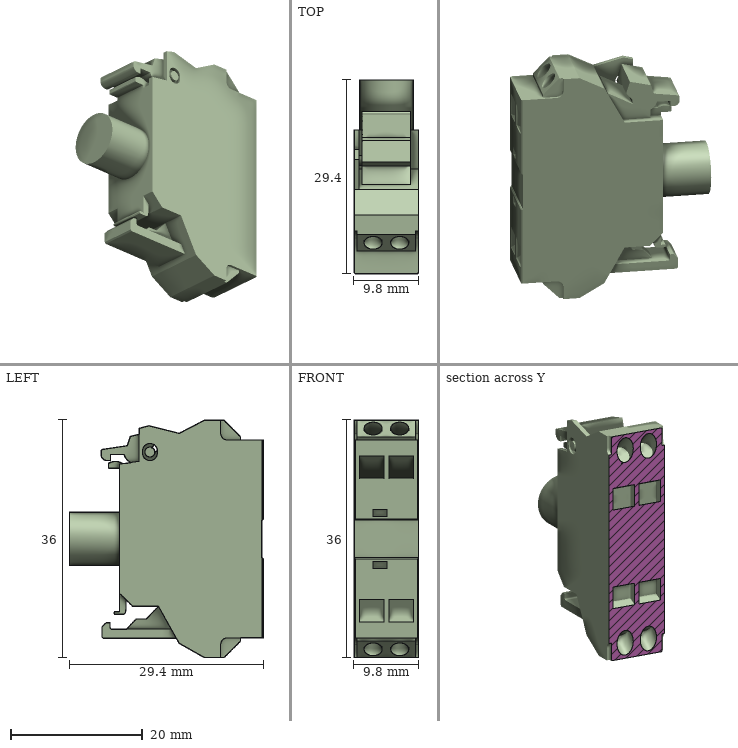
import cadquery as cq

HALF_WIDTH = 4.9
HALF_HEIGHT = 18.0
TOTAL_DEPTH = 29.4

PAD_DEPTH = 0.25
PAD_BEVEL = 0.18
SHOULDER_Z = 15.0
HOUSING_REAR_Y = 21.85
CREST_FRONT_Y = 6.48
CREST_REAR_Y = 8.95
VALLEY_Y = 12.78
VALLEY_Z = 16.02
LOWER_VALLEY_Z = -15.85
LEDGE_Y = 15.9
LEDGE_Z = 10.22
LOWER_CHAMFER = 2.0
SHOULDER_RADIUS = 1.0

CHEEK_THICKNESS = 0.75
CHEEK_REAR_Y = 18.85
CHEEK_PEAK_Z = 17.17
SLOT_WIDTH = 2.25
SLOT_HEIGHT = 2.6
PIVOT_Y = 17.2
PIVOT_Z = 13.18
PIN_RADIUS = 0.75

TERMINAL_HALF_WIDTH = 4.43
TERMINAL_FRONT_Y = 3.45
TERMINAL_BEVEL = 2.52
SCREW_RADIUS = 1.35
SCREW_DEPTH = 3.6
SCREW_X = 2.0

PAD_INNER_Z = 2.85
WINDOW_INNER_X = 0.4
WINDOW_WIDTH = 3.67
WINDOW_BOTTOM_Z = 9.2
WINDOW_TOP_Z = 12.6
WINDOW_DEPTH = 7.2
WINDOW_DROP = 3.6
TEST_SLOT_X = -0.97
TEST_SLOT_WIDTH = 2.15
TEST_SLOT_HEIGHT = 1.05
TEST_SLOT_Z = 3.95
TEST_SLOT_DEPTH = 1.8

LEVER_HALF_WIDTH = 3.67
LEVER_TAIL_Y = 13.57
LEVER_FOOT_Y = 20.15
CLIP_HALF_WIDTH = 2.88
WEB_HALF_WIDTH = 1.45
PLUNGER_RADIUS = 4.05


def slab(sketch, x_min, x_max):
    """Extrude a closed YZ outline from x_min to x_max."""
    return sketch.extrude(x_max - x_min).translate((x_min, 0, 0))


def plate(points, x_min, x_max):
    """Extrude a polygon of (y, z) points from x_min to x_max."""
    return slab(cq.Workplane("YZ").polyline(points).close(), x_min, x_max)


def box(x_min, x_max, y_min, y_max, z_min, z_max):
    """Box between the given limits."""
    size = (x_max - x_min, y_max - y_min, z_max - z_min)
    return cq.Workplane("XY").box(*size, centered=False).translate((x_min, y_min, z_min))


def mirrored_in_z(solid):
    """Copy reflected in the mid-height plane."""
    return solid.mirror("XY")


def housing():
    """Full-width body with stepped shoulders at the front corners."""
    outline = (
        cq.Workplane("YZ")
        .moveTo(PAD_DEPTH, -SHOULDER_Z)
        .lineTo(PAD_DEPTH, SHOULDER_Z)
        .lineTo(CREST_FRONT_Y - SHOULDER_RADIUS, SHOULDER_Z)
        .radiusArc((CREST_FRONT_Y, SHOULDER_Z + SHOULDER_RADIUS), -SHOULDER_RADIUS)
        .lineTo(CREST_FRONT_Y, HALF_HEIGHT)
        .lineTo(CREST_REAR_Y, HALF_HEIGHT)
        .lineTo(VALLEY_Y, VALLEY_Z)
        .lineTo(LEDGE_Y, LEDGE_Z)
        .lineTo(HOUSING_REAR_Y, LEDGE_Z)
        .lineTo(HOUSING_REAR_Y, LOWER_CHAMFER - LEDGE_Z)
        .lineTo(HOUSING_REAR_Y - LOWER_CHAMFER, -LEDGE_Z)
        .lineTo(LEDGE_Y, -LEDGE_Z)
        .lineTo(VALLEY_Y, LOWER_VALLEY_Z)
        .lineTo(CREST_REAR_Y, -HALF_HEIGHT)
        .lineTo(CREST_FRONT_Y, -HALF_HEIGHT)
        .lineTo(CREST_FRONT_Y, -SHOULDER_Z - SHOULDER_RADIUS)
        .radiusArc((CREST_FRONT_Y - SHOULDER_RADIUS, -SHOULDER_Z), -SHOULDER_RADIUS)
        .close()
    )
    return slab(outline, -HALF_WIDTH, HALF_WIDTH)


def cheek():
    """Side plate that rises above the ledge and holds the pivot slot."""
    outline = [
        (VALLEY_Y, VALLEY_Z),
        (17.35, CHEEK_PEAK_Z),
        (CHEEK_REAR_Y, 16.78),
        (CHEEK_REAR_Y, 11.77),
        (HOUSING_REAR_Y, 11.35),
        (HOUSING_REAR_Y, 0),
        (VALLEY_Y, 0),
    ]
    inner_x = CHEEK_THICKNESS - HALF_WIDTH
    slot = (
        cq.Workplane("YZ")
        .center(PIVOT_Y, PIVOT_Z)
        .slot2D(SLOT_HEIGHT, SLOT_WIDTH, 90)
    )
    slot_cut = slab(slot, -HALF_WIDTH, inner_x)
    return plate(outline, -HALF_WIDTH, inner_x).cut(slot_cut)


def terminal_block():
    """Upper bevelled block, narrower than the housing."""
    bevel_foot_z = HALF_HEIGHT - TERMINAL_BEVEL
    points = [
        (CREST_FRONT_Y, SHOULDER_Z),
        (TERMINAL_FRONT_Y, SHOULDER_Z),
        (TERMINAL_FRONT_Y, bevel_foot_z),
        (TERMINAL_FRONT_Y + TERMINAL_BEVEL, HALF_HEIGHT),
        (CREST_FRONT_Y, HALF_HEIGHT),
    ]
    return plate(points, -TERMINAL_HALF_WIDTH, TERMINAL_HALF_WIDTH)


def screw_holes():
    """Two blind holes square to the upper terminal bevel."""
    middle_y = TERMINAL_FRONT_Y + TERMINAL_BEVEL / 2
    middle_z = HALF_HEIGHT - TERMINAL_BEVEL / 2
    bevel = cq.Plane(origin=(0, middle_y, middle_z), xDir=(1, 0, 0), normal=(0, -1, 1))
    return (
        cq.Workplane(bevel)
        .pushPoints([(-SCREW_X, 0), (SCREW_X, 0)])
        .circle(SCREW_RADIUS)
        .extrude(-SCREW_DEPTH)
    )


def front_pad():
    """Raised pad whose sides and inner edge are bevelled."""
    pad = box(-HALF_WIDTH, HALF_WIDTH, 0, PAD_DEPTH, PAD_INNER_Z, SHOULDER_Z)
    return pad.faces("<Y").edges("<X or >X or <Z").chamfer(PAD_BEVEL)


def front_openings():
    """Upper wire windows sloping in towards mid-height, and a small test slot."""
    profile = [
        (0, WINDOW_BOTTOM_Z),
        (0, WINDOW_TOP_Z),
        (WINDOW_DEPTH, WINDOW_TOP_Z - WINDOW_DROP),
        (WINDOW_DEPTH, WINDOW_BOTTOM_Z - WINDOW_DROP),
    ]
    window = plate(profile, WINDOW_INNER_X, WINDOW_INNER_X + WINDOW_WIDTH)
    test_slot = box(
        TEST_SLOT_X - TEST_SLOT_WIDTH / 2,
        TEST_SLOT_X + TEST_SLOT_WIDTH / 2,
        0,
        TEST_SLOT_DEPTH,
        TEST_SLOT_Z - TEST_SLOT_HEIGHT / 2,
        TEST_SLOT_Z + TEST_SLOT_HEIGHT / 2,
    )
    return window.union(window.mirror("YZ")).union(test_slot)


def release_lever():
    """Release lever with its rear hook and front tail."""
    outline = (
        cq.Workplane("YZ")
        .moveTo(LEVER_TAIL_Y, 14.7)
        .lineTo(17.4, 12.67)
        .lineTo(17.4, 13.35)
        .lineTo(16.38, 14.47)
        .lineTo(16.95, 16.35)
        .lineTo(20.2, 15.55)
        .lineTo(20.65, 14.15)
        .lineTo(24.25, 13.6)
        .threePointArc((24.5, 13.5), (24.62, 13.25))
        .lineTo(24.62, 12.6)
        .threePointArc((24.35, 12.15), (23.85, 11.88))
        .lineTo(23.2, 11.88)
        .lineTo(23.2, 12.78)
        .lineTo(21.15, 12.78)
        .threePointArc((20.77, 12.1), (LEVER_FOOT_Y, 11.6))
        .lineTo(LEVER_FOOT_Y, LEDGE_Z)
        .lineTo(LEVER_TAIL_Y, LEDGE_Z)
        .close()
    )
    return slab(outline, -LEVER_HALF_WIDTH, LEVER_HALF_WIDTH)


def upper_tongue():
    """Rounded tongue standing out behind the ledge, under the lever hook."""
    bottom_z = 10.7
    outline = (
        cq.Workplane("YZ")
        .moveTo(LEVER_FOOT_Y, LEDGE_Z)
        .lineTo(LEVER_FOOT_Y, 11.45)
        .lineTo(21.4, 11.45)
        .threePointArc((22.43, 11.77), (23.5, 11.45))
        .lineTo(23.5, 10.8)
        .lineTo(23.4, bottom_z)
        .lineTo(HOUSING_REAR_Y, bottom_z)
        .lineTo(HOUSING_REAR_Y, LEDGE_Z)
        .close()
    )
    return slab(outline, -CLIP_HALF_WIDTH, CLIP_HALF_WIDTH)


def pivot_pin():
    """Pin from the lever through the cheek slot."""
    pin = cq.Workplane("YZ").center(PIVOT_Y, PIVOT_Z).circle(PIN_RADIUS)
    return slab(pin, -HALF_WIDTH, -LEVER_HALF_WIDTH)


def lower_clip():
    """Fixed hook bar below the housing, stiffened by a stepped web."""
    root_overlap = 0.72
    bar_root_y = VALLEY_Y - root_overlap
    bar_top_z = -13.68
    bar_bottom_z = -15.1
    bar_outline = (
        cq.Workplane("YZ")
        .moveTo(bar_root_y, bar_top_z)
        .lineTo(22.95, bar_top_z)
        .radiusArc((23.25, bar_top_z + 0.3), -0.3)
        .lineTo(23.25, -12.67)
        .lineTo(23.85, -12.67)
        .lineTo(24.48, -13.32)
        .lineTo(24.48, -14.85)
        .lineTo(24.25, bar_bottom_z)
        .lineTo(bar_root_y, bar_bottom_z)
        .close()
    )
    bar = slab(bar_outline, -CLIP_HALF_WIDTH, CLIP_HALF_WIDTH)
    web = [
        (VALLEY_Y, bar_top_z),
        (20.77, bar_top_z),
        (19.3, -12.15),
        (17.8, -12.15),
        (LEDGE_Y, -LEDGE_Z),
        (VALLEY_Y, -LEDGE_Z),
    ]
    return bar.union(plate(web, -WEB_HALF_WIDTH, WEB_HALF_WIDTH))


def lower_lip():
    """Short lip hanging from the lower rear edge."""
    root_z = -7.2
    points = [
        (HOUSING_REAR_Y, root_z),
        (HOUSING_REAR_Y, -11.0),
        (22.57, -11.0),
        (22.65, -11.25),
        (22.57, -11.45),
        (21.15, -11.45),
        (20.9, -11.2),
        (20.8, -10.62),
        (20.8, root_z),
    ]
    return plate(points, -CLIP_HALF_WIDTH, CLIP_HALF_WIDTH)


def plunger():
    """Round plunger standing out from the rear face."""
    length = TOTAL_DEPTH - HOUSING_REAR_Y
    rod = cq.Workplane("XZ").circle(PLUNGER_RADIUS).extrude(-length)
    return rod.translate((0, HOUSING_REAR_Y, 0))


result = housing().union(cheek())
for feature in (terminal_block(), front_pad()):
    result = result.union(feature).union(mirrored_in_z(feature))
for feature in (release_lever(), upper_tongue(), pivot_pin(), lower_clip(), lower_lip(), plunger()):
    result = result.union(feature)
for opening in (screw_holes(), front_openings()):
    result = result.cut(opening).cut(mirrored_in_z(opening))